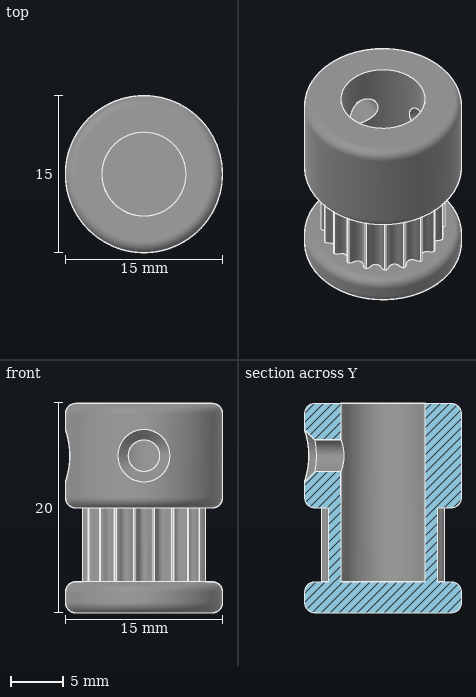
import cadquery as cq
import math

outer_diameter = 15.0
total_height = 20.0
rim_fillet = 1.0

flange_height = 3.0
hub_height = 10.0
hub_bottom = total_height - hub_height
belt_height = hub_bottom - flange_height

tooth_count = 20
tooth_tip_radius = 5.93
groove_floor_radius = 5.2
groove_arc_radius = 0.54
groove_arc_half_angle = 62.0
tooth_land_half_angle = 0.7

bore_diameter = 8.0
bore_depth = total_height - flange_height

screw_diameter = 3.0
screw_chamfer = 1.0
screw_height = hub_bottom + hub_height / 2
screw_directions = [(-1, 0, 0), (0, -1, 0)]


def rounded_disc(bottom, height):
    """Full-diameter disc with both rims rounded."""
    disc = cq.Workplane("XY").workplane(offset=bottom).circle(outer_diameter / 2).extrude(height)
    return disc.faces("<Z or >Z").edges().fillet(rim_fillet)


def polar_point(radius, angle):
    """Point at the given radius and angle in degrees."""
    return radius * math.cos(math.radians(angle)), radius * math.sin(math.radians(angle))


def toothed_section():
    """Belt section, drawn groove by groove; one groove is centred on each main axis."""
    pitch_angle = 360 / tooth_count
    land_angle = pitch_angle / 2 - tooth_land_half_angle
    arc_half_angle = math.radians(groove_arc_half_angle)

    arc_center_radius = groove_floor_radius + groove_arc_radius
    flank_outward = arc_center_radius - groove_arc_radius * math.cos(arc_half_angle)
    flank_sideways = groove_arc_radius * math.sin(arc_half_angle)
    flank_radius = math.hypot(flank_outward, flank_sideways)
    flank_angle = math.degrees(math.atan2(flank_sideways, flank_outward))

    tip_outward, tip_sideways = polar_point(tooth_tip_radius, land_angle)
    chord_length = math.hypot(tip_outward - flank_outward, tip_sideways - flank_sideways)
    chord_slope = math.atan2(tip_outward - flank_outward, tip_sideways - flank_sideways)
    half_turn = arc_half_angle - chord_slope
    bulge = chord_length / 2 * math.tan(half_turn / 2)
    middle_outward = (flank_outward + tip_outward) / 2 + bulge * math.cos(chord_slope)
    middle_sideways = (flank_sideways + tip_sideways) / 2 - bulge * math.sin(chord_slope)
    middle_radius = math.hypot(middle_outward, middle_sideways)
    middle_angle = math.degrees(math.atan2(middle_sideways, middle_outward))

    outline = cq.Workplane("XY").workplane(offset=flange_height)
    outline = outline.moveTo(*polar_point(tooth_tip_radius, -land_angle))
    for groove in range(tooth_count):
        center = groove * pitch_angle
        outline = (
            outline
            .threePointArc(
                polar_point(middle_radius, center - middle_angle),
                polar_point(flank_radius, center - flank_angle),
            )
            .threePointArc(
                polar_point(groove_floor_radius, center),
                polar_point(flank_radius, center + flank_angle),
            )
            .threePointArc(
                polar_point(middle_radius, center + middle_angle),
                polar_point(tooth_tip_radius, center + land_angle),
            )
            .threePointArc(
                polar_point(tooth_tip_radius, center + pitch_angle / 2),
                polar_point(tooth_tip_radius, center + pitch_angle - land_angle),
            )
        )
    return outline.close().extrude(belt_height)


def bore():
    """Cylinder removed from the top face down to the closed bottom of the bore."""
    return (
        cq.Workplane("XY")
        .workplane(offset=total_height - bore_depth)
        .circle(bore_diameter / 2)
        .extrude(bore_depth)
    )


def screw_hole(direction):
    """Radial cylinder from the hub axis outwards."""
    start = cq.Vector(0, 0, screw_height)
    return cq.Solid.makeCylinder(screw_diameter / 2, outer_diameter / 2, start, cq.Vector(*direction))


def screw_hole_rim(direction):
    """Selector for the edge where a screw hole breaks through the outside of the hub."""
    rim = cq.Vector(0, 0, screw_height) + cq.Vector(*direction) * (outer_diameter / 2)
    return cq.selectors.NearestToPointSelector(rim.toTuple())


result = rounded_disc(0, flange_height)
result = result.union(toothed_section())
result = result.union(rounded_disc(hub_bottom, hub_height))
result = result.cut(bore())
for screw_direction in screw_directions:
    result = result.cut(cq.Workplane(obj=screw_hole(screw_direction)))
    result = result.edges(screw_hole_rim(screw_direction)).chamfer(screw_chamfer)